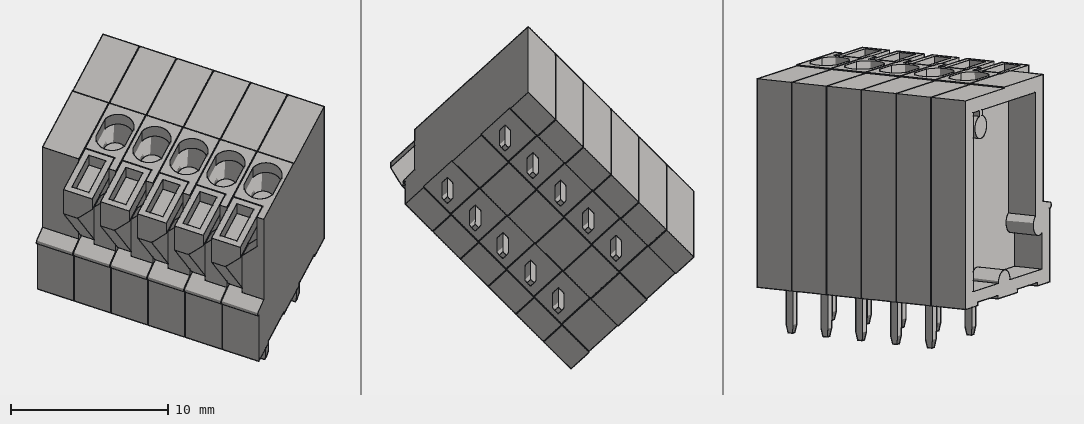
import cadquery as cq
import math

module_count = 5
row_length = 15.25
gap = 0.05
pitch = (row_length + gap) / (module_count + 1)
block_width = pitch - gap

top_height = 13.57
rear_top_height = 13.5
rear_top_depth = 5.04
upper_front = 9.99
lower_front = 10.82

lip_radius = 0.2
lip_height = 4.97
lip_slope = math.radians(13)
ledge_front_depth = lower_front + lip_radius * math.sin(lip_slope)
ledge_front_height = lip_height + lip_radius * math.cos(lip_slope)
ledge_height = ledge_front_height + (ledge_front_depth - upper_front) * math.tan(lip_slope)

pin_depths = (2.87, 7.95)
pin_offset = 1.62
pin_width = 0.5
pin_tip_width = 0.32
pin_length = 3.33
pin_tip_length = 0.54
notch_length = 2.54
notch_height = 0.22

wall = 1.0
recess_depth = 2.0
post_radius = 0.75
rear_post = (1.96, 11.5)
front_post = (9.45, 3.99)
lower_post = (4.97, wall)
rib_width = 0.39
groove_depth = 0.25

entry_center_depth = 7.11
entry_width = 2.0
entry_length = 3.0
entry_end_radius = 1.03
well_depth = 1.0
funnel_depth = 1.0
seat_radius = 0.75
seat_seam_angle = math.radians(31)

slot_back = 9.0
slot_width = 2.03
slot_foot_width = 1.01
slot_shoulder = 10.56
shoulder_drop = 1.42

lever_clearance = 0.05
lever_front = 12.6
lever_top = rear_top_height
lever_shoulder = 12.45
lever_front_bottom = lever_shoulder - shoulder_drop
lever_bottom = ledge_height + lever_clearance
lever_toe_radius = 0.25
lever_slope = 1.95
lever_wall = 0.4
window_depth = 1.0


def yz_plane(start):
    """Sketch plane facing +X at the given X; its axes are Y and Z."""
    return cq.Workplane("YZ", origin=(start, 0, 0))


def housing_block(start):
    """Profile shared by the end cover and the modules, with the notches under it."""
    block = (
        yz_plane(start)
        .moveTo(0, 0)
        .lineTo(0, rear_top_height)
        .lineTo(-rear_top_depth, rear_top_height)
        .lineTo(-rear_top_depth, top_height)
        .lineTo(-upper_front, top_height)
        .lineTo(-upper_front, ledge_height)
        .lineTo(-ledge_front_depth, ledge_front_height)
        .threePointArc(
            (-lower_front - lip_radius, lip_height),
            (-lower_front, lip_height - lip_radius),
        )
        .lineTo(-lower_front, 0)
        .close()
        .extrude(block_width)
    )
    notches = (
        yz_plane(start)
        .pushPoints([(-depth, notch_height / 2) for depth in pin_depths])
        .rect(notch_length, notch_height)
        .extrude(block_width)
    )
    return block.cut(notches)


def end_cover():
    """Cover block with its recess; the posts are left standing in the recess."""
    recess = (
        yz_plane(0)
        .moveTo(-wall, wall)
        .lineTo(-wall, top_height - wall)
        .lineTo(wall - upper_front, top_height - wall)
        .lineTo(wall - upper_front, front_post[1])
        .lineTo(wall - lower_front, front_post[1])
        .lineTo(wall - lower_front, wall)
        .close()
        .extrude(recess_depth)
    )
    posts = (
        yz_plane(0)
        .pushPoints([(-depth, height) for depth, height in (rear_post, front_post, lower_post)])
        .circle(post_radius)
        .extrude(recess_depth)
    )
    rib_height = top_height - wall - rear_post[1]
    rib = (
        yz_plane(0)
        .center(-rear_post[0], rear_post[1] + rib_height / 2)
        .rect(rib_width, rib_height)
        .extrude(recess_depth)
    )
    return housing_block(0).cut(recess.cut(posts).cut(rib))


def cover_bridge():
    """Web that joins the end cover to the first module, leaving a groove around it."""
    return cq.Workplane("XY").box(
        gap,
        slot_back - groove_depth,
        rear_top_height - 2 * groove_depth,
        centered=False,
    ).translate((block_width, -slot_back, groove_depth))


def stepped_block(start, width, foot_width, bottom, shoulder, top, front):
    """Block reaching forward from the slot back, narrowing to a foot under a slanted shoulder."""
    return (
        cq.Workplane("XZ", origin=(start, -slot_back, 0))
        .moveTo(0, bottom)
        .lineTo(0, top)
        .lineTo(width, top)
        .lineTo(width, shoulder)
        .lineTo(foot_width, shoulder - shoulder_drop)
        .lineTo(foot_width, bottom)
        .close()
        .extrude(front - slot_back)
    )


def lever_slot(start):
    return stepped_block(
        start, slot_width, slot_foot_width, ledge_height, slot_shoulder, top_height, upper_front
    )


def lever(start):
    """Hollow-topped lever whose front slopes back into the slot, down to a rounded toe."""
    width = slot_width - lever_clearance
    foot_width = slot_foot_width - lever_clearance
    block = stepped_block(
        start, width, foot_width, lever_bottom, lever_shoulder, lever_top, lever_front
    )
    slope_run = (lever_front_bottom - lever_bottom) / lever_slope
    sloped_front = (
        yz_plane(start)
        .moveTo(-lever_front, lever_front_bottom)
        .lineTo(-lever_front, lever_bottom)
        .lineTo(slope_run - lever_front, lever_bottom)
        .close()
        .extrude(width)
    )
    window = cq.Workplane("XY").box(
        width - 2 * lever_wall,
        lever_front - slot_back - 2 * lever_wall,
        window_depth,
        centered=False,
    ).translate((start + lever_wall, lever_wall - lever_front, lever_top - window_depth))
    toe_depth = lever_front - slope_run
    toe = cq.selectors.NearestToPointSelector((start + foot_width / 2, -toe_depth, lever_bottom))
    body = block.cut(sloped_front).edges("|X").edges(toe).fillet(lever_toe_radius)
    return body.cut(window)


def entry_oval(plane):
    """Oval with straight sides and shallow arcs at its front and rear ends."""
    half_width = entry_width / 2
    half_length = entry_length / 2
    arc_rise = entry_end_radius - math.sqrt(entry_end_radius**2 - half_width**2)
    half_side = half_length - arc_rise
    return (
        plane.moveTo(-half_width, -half_side)
        .threePointArc((0, -half_length), (half_width, -half_side))
        .lineTo(half_width, half_side)
        .threePointArc((0, half_length), (-half_width, half_side))
        .close()
    )


def seat_circle(plane):
    """Circle in four arcs, one for each side of the oval above it."""
    seam_x = seat_radius * math.cos(seat_seam_angle)
    seam_y = seat_radius * math.sin(seat_seam_angle)
    return (
        plane.moveTo(-seam_x, -seam_y)
        .threePointArc((0, -seat_radius), (seam_x, -seam_y))
        .threePointArc((seat_radius, 0), (seam_x, seam_y))
        .threePointArc((0, seat_radius), (-seam_x, seam_y))
        .threePointArc((-seat_radius, 0), (-seam_x, -seam_y))
        .close()
    )


def wire_entry(start):
    center = (start + block_width / 2, -entry_center_depth)
    surface = cq.Workplane("XY", origin=(*center, top_height))
    well = entry_oval(surface).extrude(-well_depth)
    well_floor = cq.Workplane("XY", origin=(*center, top_height - well_depth))
    funnel = seat_circle(entry_oval(well_floor).workplane(offset=-funnel_depth)).loft(ruled=True)
    return well.union(funnel)


def pin(start, depth):
    """Square pin with a tapered tip, hanging from the top of its notch."""
    shoulder = pin_tip_length - pin_length
    shank = (
        cq.Workplane("XY", origin=(start + pin_offset, -depth, notch_height))
        .rect(pin_width, pin_width)
        .extrude(shoulder - notch_height)
    )
    tip = (
        cq.Workplane("XY", origin=(start + pin_offset, -depth, shoulder))
        .rect(pin_width, pin_width)
        .workplane(offset=-pin_tip_length)
        .rect(pin_tip_width, pin_tip_width)
        .loft(ruled=True)
    )
    return shank.union(tip)


def terminal_module(start):
    """Housing block with its wire entry, lever and pins."""
    module = housing_block(start).cut(lever_slot(start)).union(lever(start))
    module = module.cut(wire_entry(start))
    for depth in pin_depths:
        module = module.union(pin(start, depth))
    return module


def end_module(start):
    """First module, made in one piece with the end cover."""
    return terminal_module(start).union(cover_bridge()).union(end_cover())


first_module = end_module(pitch)
inner_modules = [terminal_module(pitch * place) for place in range(2, module_count + 1)]

result = cq.Compound.makeCompound(
    [first_module.val(), *[module.val() for module in inner_modules]]
)